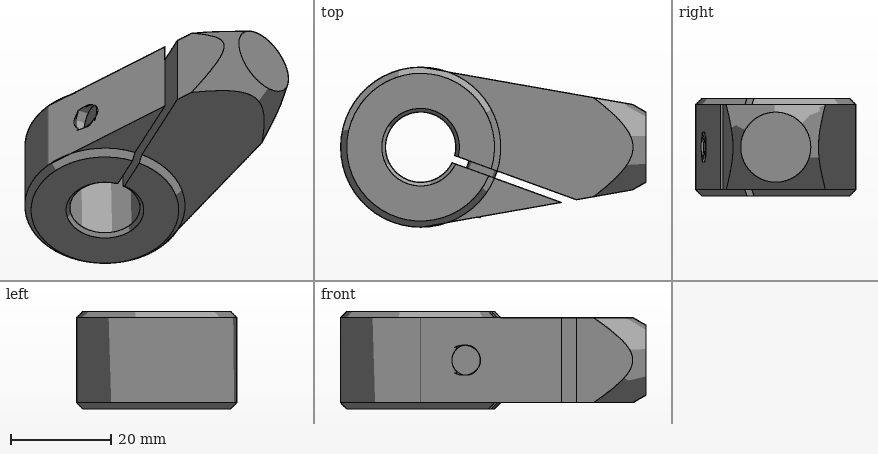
import cadquery as cq
import math

HUB_RADIUS = 16.0
HUB_HEIGHT = 19.5
ARM_THICKNESS = 17.0
RIM_CHAMFER = (HUB_HEIGHT - ARM_THICKNESS) / 2
RIM_TAPER_ANGLE = 45.0
BORE_RADIUS = 7.0
BORE_CHAMFER = 0.75

ARM_LENGTH = 45.0
ARM_TAPER_ANGLE = 10.0
TIP_RADIUS = 7.0
TIP_CONE_ANGLE = 30.0

SLOT_ANGLE = 20.0
SLOT_WIDTH = 1.5

SCREW_RADIUS = 3.0
SCREW_DISTANCE = 13.0
SCREW_END_DEPTH = 9.2
SCREW_RECESS_DEPTH = 2.2


def make_arm():
    """Half-round slab with straight tapering sides."""
    tip_half_width = HUB_RADIUS - ARM_LENGTH * math.tan(math.radians(ARM_TAPER_ANGLE))
    return (
        cq.Workplane("XY", origin=(0, 0, -ARM_THICKNESS / 2))
        .moveTo(0, HUB_RADIUS)
        .threePointArc((-HUB_RADIUS, 0), (0, -HUB_RADIUS))
        .lineTo(ARM_LENGTH, -tip_half_width)
        .lineTo(ARM_LENGTH, tip_half_width)
        .close()
        .extrude(ARM_THICKNESS)
    )


def make_tip_envelope():
    """Cone about the X axis that keeps everything inside the rounded-off tip."""
    cone_length = ARM_LENGTH + HUB_RADIUS
    base_radius = TIP_RADIUS + cone_length * math.tan(math.radians(TIP_CONE_ANGLE))
    return (
        cq.Workplane("XY")
        .moveTo(-HUB_RADIUS, 0)
        .lineTo(-HUB_RADIUS, base_radius)
        .lineTo(ARM_LENGTH, TIP_RADIUS)
        .lineTo(ARM_LENGTH, 0)
        .close()
        .revolve(360, (0, 0, 0), (1, 0, 0))
    )


def make_rims():
    """Tapered collars that stand above and below the arm."""
    collar = (
        cq.Workplane("XY", origin=(0, 0, ARM_THICKNESS / 2))
        .circle(HUB_RADIUS)
        .extrude(RIM_CHAMFER, taper=RIM_TAPER_ANGLE)
    )
    return collar, collar.mirror("XY")


def make_bore():
    """Through bore with a chamfer at each mouth."""
    half_height = HUB_HEIGHT / 2
    mouth_radius = BORE_RADIUS + BORE_CHAMFER
    return (
        cq.Workplane("XZ")
        .moveTo(0, -half_height)
        .lineTo(mouth_radius, -half_height)
        .lineTo(BORE_RADIUS, -half_height + BORE_CHAMFER)
        .lineTo(BORE_RADIUS, half_height - BORE_CHAMFER)
        .lineTo(mouth_radius, half_height)
        .lineTo(0, half_height)
        .close()
        .revolve(360, (0, 0, 0), (0, 1, 0))
    )


def make_slot():
    """Straight cut from the bore axis out through the lower side of the arm."""
    return (
        cq.Workplane("XY")
        .box(ARM_LENGTH, SLOT_WIDTH, HUB_HEIGHT, centered=(False, True, True))
        .rotate((0, 0, 0), (0, 0, 1), -SLOT_ANGLE)
    )


def screw_cylinder(start, length):
    """Cylinder on the screw axis; start is measured outward from mid slot."""
    return (
        cq.Workplane("XZ", origin=(SCREW_DISTANCE, -start, 0))
        .circle(SCREW_RADIUS)
        .extrude(length)
        .rotate((0, 0, 0), (0, 0, 1), -SLOT_ANGLE)
    )


def make_screw_opening():
    """Opening along Y, with the outline of the tilted screw end, that clears the recess mouth."""
    sin_slot = math.sin(math.radians(SLOT_ANGLE))
    cos_slot = math.cos(math.radians(SLOT_ANGLE))
    end_x = SCREW_DISTANCE * cos_slot - SCREW_END_DEPTH * sin_slot
    end_y = -SCREW_DISTANCE * sin_slot - SCREW_END_DEPTH * cos_slot
    outermost_y = end_y - SCREW_RADIUS * sin_slot
    return (
        cq.Workplane("XZ", origin=(end_x, outermost_y, 0))
        .ellipse(SCREW_RADIUS * cos_slot, SCREW_RADIUS)
        .extrude(HUB_RADIUS)
    )


top_rim, bottom_rim = make_rims()
body = make_arm().intersect(make_tip_envelope())
body = body.union(top_rim).union(bottom_rim)
body = body.cut(make_bore()).cut(make_slot())

screw_recess = screw_cylinder(SCREW_END_DEPTH, SCREW_RECESS_DEPTH)
body = body.cut(screw_recess).cut(make_screw_opening())

screw = screw_cylinder(-SLOT_WIDTH, SCREW_END_DEPTH + SLOT_WIDTH)
result = body.union(screw)